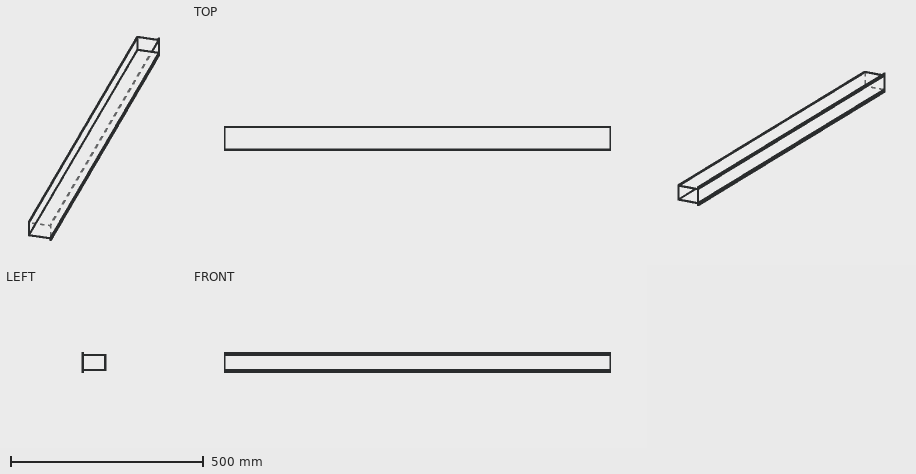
import cadquery as cq

length = 1000.0
depth = 60.0
cover_height = 50.0
channel_height = 40.0
sheet = 1.5

channel_depth = depth - sheet
cover_y = depth / 2 - sheet


def make_channel():
    """U-shaped channel whose open side faces +Y, centred on X and Z."""
    web_y = -depth / 2
    outer = cq.Workplane("XY").box(length, channel_depth, channel_height, centered=(True, False, True))
    cavity = (
        cq.Workplane("XY")
        .box(length, channel_depth - sheet, channel_height - 2 * sheet, centered=(True, False, True))
        .translate((0, sheet, 0))
    )
    return outer.cut(cavity).translate((0, web_y, 0))


def make_cover():
    """Flat cover that closes the channel and overhangs it above and below."""
    plate = cq.Workplane("XY").box(length, sheet, cover_height, centered=(True, False, True))
    return plate.translate((0, cover_y, 0))


channel = make_channel()
cover = make_cover()

result = cq.Compound.makeCompound([channel.val(), cover.val()])